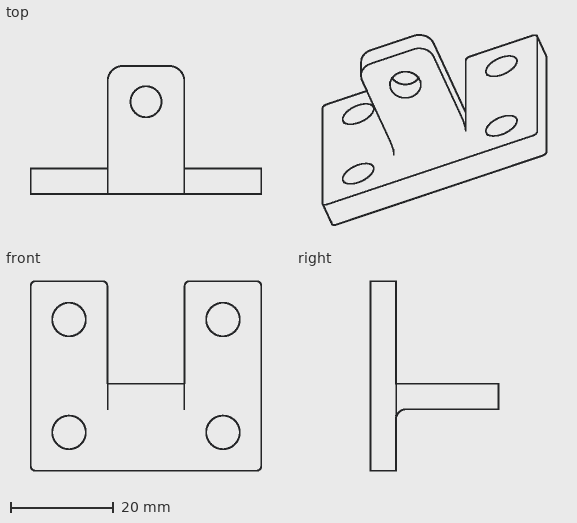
import cadquery as cq
import math

plate_width = 45.0
plate_height = 37.0
thickness = 5.0
plate_corner_radius = 1.0

mount_hole_diameter = 6.5
mount_hole_inset = 7.5

tab_width = 15.0
tab_length = 20.0
tab_corner_radius = 3.0
tab_hole_diameter = 6.0
tab_hole_end_distance = 7.0
slot_floor = 12.0
inner_bend_radius = 2.0

cos_45 = math.cos(math.radians(45))
tab_top = slot_floor + thickness
tab_end = thickness + tab_length


def make_plate():
    """U-shaped plate with rounded outline corners and four mounting holes."""
    blank = cq.Workplane("XY").box(
        plate_width, thickness, plate_height, centered=(True, False, False)
    )
    slot = (
        cq.Workplane("XY")
        .workplane(offset=slot_floor)
        .box(tab_width, thickness, plate_height - slot_floor, centered=(True, False, False))
    )
    plate = blank.cut(slot)
    plate = plate.edges("|Y and (>Z or <Z)").fillet(plate_corner_radius)

    hole_x = plate_width / 2 - mount_hole_inset
    hole_points = [
        (x, z)
        for x in (-hole_x, hole_x)
        for z in (mount_hole_inset, plate_height - mount_hole_inset)
    ]
    holes = (
        cq.Workplane("XZ")
        .pushPoints(hole_points)
        .circle(mount_hole_diameter / 2)
        .extrude(-thickness)
    )
    return plate.cut(holes)


def make_bend():
    """Quarter cylinder joining the slot floor to the top of the tab."""
    arc_middle = thickness * cos_45
    return (
        cq.Workplane("YZ")
        .workplane(offset=-tab_width / 2)
        .moveTo(thickness, slot_floor)
        .lineTo(0, slot_floor)
        .threePointArc((thickness - arc_middle, slot_floor + arc_middle), (thickness, tab_top))
        .close()
        .extrude(tab_width)
    )


def make_tab():
    """Flat tab behind the plate with rounded end corners and one hole."""
    tab = (
        cq.Workplane("XY")
        .box(tab_width, tab_length, thickness, centered=(True, False, False))
        .translate((0, thickness, slot_floor))
        .edges("|Z and >Y")
        .fillet(tab_corner_radius)
    )
    hole = (
        cq.Workplane("XY")
        .workplane(offset=slot_floor)
        .center(0, tab_end - tab_hole_end_distance)
        .circle(tab_hole_diameter / 2)
        .extrude(thickness)
    )
    return tab.cut(hole)


def make_inner_bend():
    """Concave fillet under the tab, against the back of the plate."""
    r = inner_bend_radius
    near_corner = r * (1 - cos_45)
    return (
        cq.Workplane("YZ")
        .workplane(offset=-tab_width / 2)
        .moveTo(thickness, slot_floor)
        .lineTo(thickness, slot_floor - r)
        .threePointArc(
            (thickness + near_corner, slot_floor - near_corner), (thickness + r, slot_floor)
        )
        .close()
        .extrude(tab_width)
    )


result = make_plate().union(make_bend()).union(make_tab()).union(make_inner_bend())